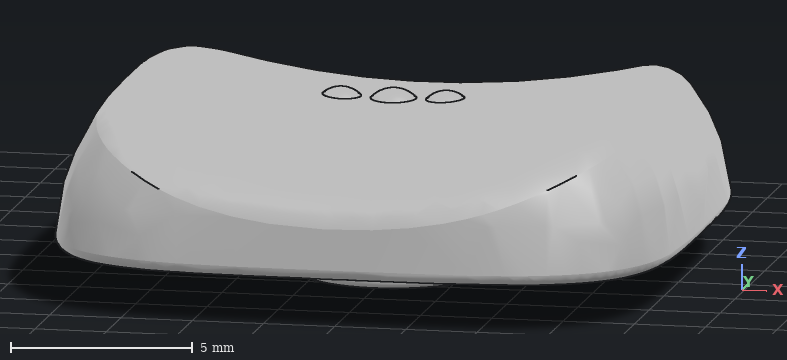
import cadquery as cq
import math

LENGTH_X = 17.47
LENGTH_Y = 16.47
BASE_EXPONENT = 4.2
TOP_EXPONENT = 3.3
POINTS_PER_QUARTER = 10
WALL_RADIUS_X = 5.7
WALL_RADIUS_Y = 5.3
WALL_HEIGHT = 4.9
WALL_LEVELS = 6
BOTTOM_FILLET = 0.3

DISH_CENTER_Z = 3.53
DISH_RADIUS_X = 27.0
DISH_RADIUS_Y = 24.0
RIM_FILLET = 1.35
CUTTER_MARGIN = 2.0

STEM_DIAMETER = 5.5
STEM_LENGTH = 1.3
STEM_FILLET = 0.2

DOT_SPACING = 1.48
CENTER_DOT_RADIUS = 0.64
CENTER_DOT_HEIGHT = 0.28
SIDE_DOT_RADIUS = 0.54
SIDE_DOT_HEIGHT = 0.22


def outline_points(half_x, half_y, exponent):
    """Points around a superellipse, at even steps of the direction angle."""
    count = 4 * POINTS_PER_QUARTER
    points = []
    for i in range(count):
        angle = 2 * math.pi * i / count
        c = math.cos(angle)
        s = math.sin(angle)
        reach = (abs(c) ** exponent + abs(s) ** exponent) ** (-1 / exponent)
        points.append((half_x * reach * c, half_y * reach * s))
    return points


def arc_offset(radius, distance):
    """How far an arc falls away from its tangent line at a distance along it."""
    return radius - math.sqrt(radius**2 - distance**2)


def make_skirt():
    """Loft the outline upward; it shrinks along the wall arcs and grows rounder."""
    skirt = cq.Workplane("XY")
    step = WALL_HEIGHT / (WALL_LEVELS - 1)
    for level in range(WALL_LEVELS):
        rise = level * step - BOTTOM_FILLET
        half_x = LENGTH_X / 2 - arc_offset(WALL_RADIUS_X, rise)
        half_y = LENGTH_Y / 2 - arc_offset(WALL_RADIUS_Y, rise)
        share = level / (WALL_LEVELS - 1)
        exponent = BASE_EXPONENT + share * (TOP_EXPONENT - BASE_EXPONENT)
        if level > 0:
            skirt = skirt.workplane(offset=step)
        skirt = skirt.spline(outline_points(half_x, half_y, exponent), periodic=True).close()
    return skirt.loft()


def make_dish_cutter():
    """Revolve the X hollow about an axis below the cap to arch it along Y."""
    half_width = LENGTH_X / 2 + CUTTER_MARGIN
    edge_z = DISH_CENTER_Z + arc_offset(DISH_RADIUS_X, half_width)
    top_z = edge_z + CUTTER_MARGIN + WALL_HEIGHT
    axis_z = DISH_CENTER_Z - DISH_RADIUS_Y
    profile = (
        cq.Workplane("XZ")
        .moveTo(-half_width, edge_z)
        .threePointArc((0, DISH_CENTER_Z), (half_width, edge_z))
        .lineTo(half_width, top_z)
        .lineTo(-half_width, top_z)
        .close()
    )
    return profile.revolve(360, (0, axis_z, 0), (1, axis_z, 0))


def make_cap():
    """Skirt hollowed by the dish, with rounded rim and bottom edges."""
    cap = make_skirt().cut(make_dish_cutter())
    dish_face = cap.faces(cq.selectors.NearestToPointSelector((0, 0, DISH_CENTER_Z)))
    cap = dish_face.edges().fillet(RIM_FILLET)
    return cap.faces("<Z").edges().fillet(BOTTOM_FILLET)


def make_stem():
    """Stem hanging below the cap, rounded at its free end."""
    stem = cq.Workplane("XY").circle(STEM_DIAMETER / 2).extrude(-STEM_LENGTH)
    return stem.faces("<Z").edges().fillet(STEM_FILLET)


def make_dot(x, base_radius, height):
    """Sphere of which only a cap of the given size stands above the dish."""
    radius = (base_radius**2 + height**2) / (2 * height)
    dish_z = DISH_CENTER_Z + arc_offset(DISH_RADIUS_X, x)
    return cq.Workplane("XY").sphere(radius).translate((x, 0, dish_z + height - radius))


result = make_cap().union(make_stem())
result = result.union(make_dot(0, CENTER_DOT_RADIUS, CENTER_DOT_HEIGHT))
for side in (-1, 1):
    result = result.union(make_dot(side * DOT_SPACING, SIDE_DOT_RADIUS, SIDE_DOT_HEIGHT))